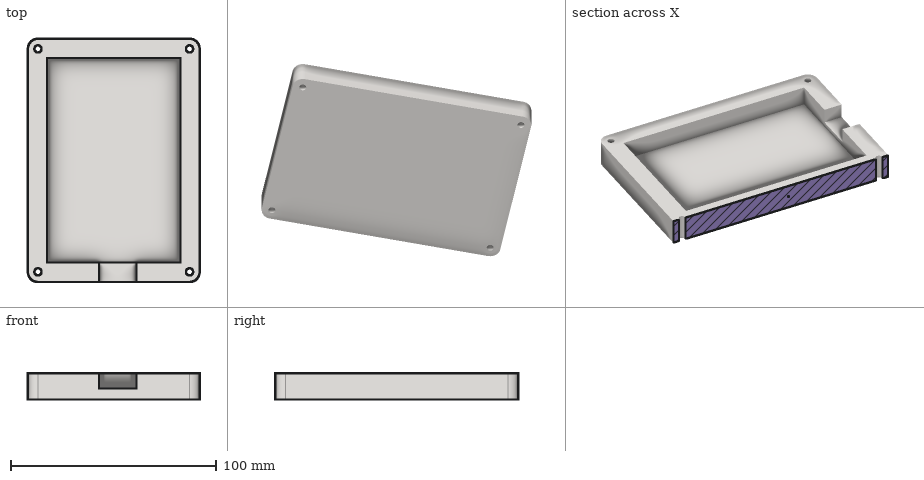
import cadquery as cq

WIDTH = 83.9
LENGTH = 118.71
HEIGHT = 13.0
CORNER_RADIUS = 5.0

WALL = 9.5
FLOOR = 3.0
POCKET_WIDTH = WIDTH - 2 * WALL
POCKET_LENGTH = LENGTH - 2 * WALL
POCKET_DEPTH = HEIGHT - FLOOR

NOTCH_WIDTH = 18.5
NOTCH_DEPTH = 7.5
NOTCH_CENTER_X = 1.95

HOLE_DIAMETER = 3.4
HOLE_INSET = CORNER_RADIUS


def make_body():
    """Block with rounded vertical corners, standing on Z = 0."""
    block = cq.Workplane("XY").box(WIDTH, LENGTH, HEIGHT, centered=(True, True, False))
    return block.edges("|Z").fillet(CORNER_RADIUS)


def make_pocket():
    """Volume removed from the middle of the top face."""
    pocket = cq.Workplane("XY").box(POCKET_WIDTH, POCKET_LENGTH, POCKET_DEPTH, centered=(True, True, False))
    return pocket.translate((0, 0, FLOOR))


def make_notch():
    """Volume removed from the -Y wall, from the pocket centre out to the outer face."""
    notch_length = LENGTH / 2
    notch = cq.Workplane("XY").box(NOTCH_WIDTH, notch_length, NOTCH_DEPTH, centered=(True, False, False))
    return notch.translate((NOTCH_CENTER_X, -notch_length, HEIGHT - NOTCH_DEPTH))


def make_screw_holes():
    """Four cylinders through the full height."""
    return (
        cq.Workplane("XY")
        .rect(WIDTH - 2 * HOLE_INSET, LENGTH - 2 * HOLE_INSET, forConstruction=True)
        .vertices()
        .circle(HOLE_DIAMETER / 2)
        .extrude(HEIGHT)
    )


result = make_body().cut(make_pocket()).cut(make_notch()).cut(make_screw_holes())